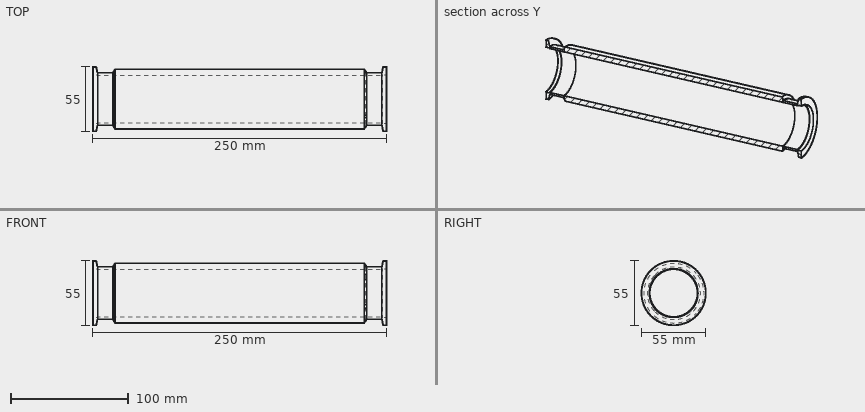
import cadquery as cq

total_length = 250.0
neck_length = 17.0
socket_depth = 1.0

flange_radius = 27.5
rim_width = 3.0
rim_back_round = 1.0
flange_width = 4.0
neck_radius = 22.5
bore_radius = 20.2
recess_radius = 20.8
recess_depth = 3.8

tube_radius = 25.5
tube_end_taper = 2.0

half_length = total_length / 2
tube_half_length = half_length - neck_length
ferrule_length = neck_length + socket_depth


def revolve_about_x(points):
    """Turn a closed (x, radius) outline into a solid around the X axis."""
    return cq.Workplane("XY").polyline(points).close().revolve(360, (0, 0, 0), (1, 0, 0))


def make_ferrule(side):
    """Flanged neck with a recessed bore; side is -1 or +1 along X."""
    profile = [
        (0, recess_radius),
        (0, flange_radius),
        (rim_width, flange_radius),
        (flange_width, neck_radius),
        (ferrule_length, neck_radius),
        (ferrule_length, bore_radius),
        (recess_depth, bore_radius),
        (recess_depth, recess_radius),
    ]
    ferrule = revolve_about_x([(side * (half_length - depth), radius) for depth, radius in profile])
    rim_edges = ferrule.edges(cq.selectors.RadiusNthSelector(-1))
    back_edge = rim_edges.filter(lambda edge: abs(edge.Center().x) < half_length - rim_width / 2)
    return back_edge.fillet(rim_back_round)


def make_tube():
    """Middle tube whose ends taper down to the ferrule necks."""
    socket_floor = tube_half_length - socket_depth
    taper_start = tube_half_length - tube_end_taper
    return revolve_about_x([
        (-socket_floor, bore_radius),
        (-socket_floor, neck_radius),
        (-tube_half_length, neck_radius),
        (-taper_start, tube_radius),
        (taper_start, tube_radius),
        (tube_half_length, neck_radius),
        (socket_floor, neck_radius),
        (socket_floor, bore_radius),
    ])


tube = make_tube()
ferrules = [make_ferrule(side) for side in (-1, 1)]

result = cq.Compound.makeCompound([tube.val(), *[ferrule.val() for ferrule in ferrules]])